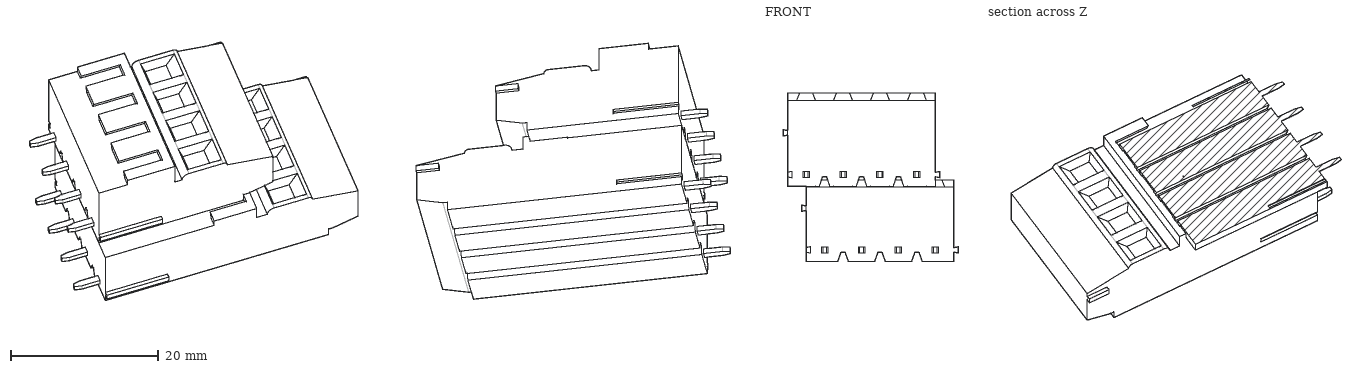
import cadquery as cq
import math

POLES = 4
PITCH = 5.0
WIDTH = POLES * PITCH
UPPER_SHIFT = -PITCH / 2
UPPER_RAISE = 10.23

LOWER_NOSE = 36.5
UPPER_NOSE = 25.1
HEEL_SETBACK = 4.25
CHIN_SETBACK = 3.6
SHOULDER_SETBACK = 6.58
HUMP_SETBACK = 13.1
HEEL_HEIGHT = 1.3
NOSE_BOTTOM = 2.3
NOSE_TOP = 8.22
HUMP_TOP = 10.02
REAR_ROUND = 0.6
FRONT_ROUND = 1.0
SHOULDER_HEIGHT = HUMP_TOP - REAR_ROUND
TROUGH_HEIGHT = HUMP_TOP - FRONT_ROUND

LOWER_RISER = 21.85
UPPER_RISER = 10.95
LOWER_TOP = 11.1
UPPER_TOP = 12.67
LOWER_RIB_FRONT = 15.7
UPPER_RIB_FRONT = 4.15
LOWER_GROOVE_LENGTH = 5.2
UPPER_GROOVE_LENGTH = 5.6
RIB_HEIGHT = 1.0
GROOVE_TOP_WIDTH = 1.75
GROOVE_BOTTOM_WIDTH = 2.55

POCKET_REAR_SETBACK = 7.2
POCKET_FRONT_SETBACK = 12.1
POCKET_WIDTH = 3.65
POCKET_DEPTH = 1.32
FLOOR_REAR_SETBACK = 8.6
FLOOR_FRONT_SETBACK = 11.63
FLOOR_WIDTH = 2.6

NOTCH_BOTTOM_WIDTH = 1.45
NOTCH_TOP_WIDTH = 0.52
NOTCH_HEIGHT = 1.3

DOVETAIL_DEPTH = 0.6
DOVETAIL_NECK = 0.65
DOVETAIL_HEAD = 0.9
RAIL_LENGTH = 9.0
RAIL_HEIGHT = 1.6
TAB_LENGTH = 3.13
TAB_HEIGHT = 7.25

PIN_LENGTH = 3.6
PIN_TIP_LENGTH = 1.0
PIN_WIDTH = 0.9
PIN_TIP_WIDTH = 0.5
PIN_THICKNESS = 0.8
PIN_HEIGHT = 1.6

POLE_CENTRES = [(i + 0.5) * PITCH for i in range(POLES)]
POLE_BOUNDARIES = [i * PITCH for i in range(1, POLES)]
ARC_MID = math.sqrt(0.5)


def prism_along_y(points, y_start, length):
    """Extrude an XZ outline from y_start towards +Y."""
    return cq.Workplane("XZ", origin=(0, y_start, 0)).polyline(points).close().extrude(-length)


def trapezoid(centre, bottom_width, top_width, bottom, top):
    return [
        (centre - bottom_width / 2, bottom),
        (centre + bottom_width / 2, bottom),
        (centre + top_width / 2, top),
        (centre - top_width / 2, top),
    ]


def body(nose, riser, top, rib_front):
    """Side profile of one block, extruded over its full width."""
    shoulder = nose - SHOULDER_SETBACK
    hump_front = nose - HUMP_SETBACK
    rear_centre = (shoulder - REAR_ROUND, SHOULDER_HEIGHT)
    front_centre = (hump_front + FRONT_ROUND, TROUGH_HEIGHT)
    rear_mid = (rear_centre[0] + REAR_ROUND * ARC_MID, rear_centre[1] + REAR_ROUND * ARC_MID)
    front_mid = (front_centre[0] - FRONT_ROUND * ARC_MID, front_centre[1] + FRONT_ROUND * ARC_MID)
    return (
        cq.Workplane("YZ")
        .moveTo(0, 0)
        .lineTo(nose - HEEL_SETBACK, 0)
        .lineTo(nose - HEEL_SETBACK, HEEL_HEIGHT)
        .lineTo(nose - CHIN_SETBACK, HEEL_HEIGHT)
        .lineTo(nose, NOSE_BOTTOM)
        .lineTo(nose, NOSE_TOP)
        .lineTo(shoulder, SHOULDER_HEIGHT)
        .threePointArc(rear_mid, (rear_centre[0], HUMP_TOP))
        .lineTo(front_centre[0], HUMP_TOP)
        .threePointArc(front_mid, (hump_front, TROUGH_HEIGHT))
        .lineTo(riser, TROUGH_HEIGHT)
        .lineTo(riser, top)
        .lineTo(rib_front, top)
        .lineTo(rib_front, top - RIB_HEIGHT)
        .lineTo(0, top - RIB_HEIGHT)
        .close()
        .extrude(WIDTH)
    )


def groove(centre, top, rib_front, length):
    """Undercut dovetail groove, open at the front of the ribs."""
    outline = trapezoid(centre, GROOVE_BOTTOM_WIDTH, GROOVE_TOP_WIDTH, top - RIB_HEIGHT, top)
    return prism_along_y(outline, rib_front, length)


def pocket(centre, nose):
    """Wire pocket that narrows towards its floor."""
    mouth_length = POCKET_FRONT_SETBACK - POCKET_REAR_SETBACK
    floor_length = FLOOR_FRONT_SETBACK - FLOOR_REAR_SETBACK
    mouth_y = nose - (POCKET_FRONT_SETBACK + POCKET_REAR_SETBACK) / 2
    floor_y = nose - (FLOOR_FRONT_SETBACK + FLOOR_REAR_SETBACK) / 2
    return (
        cq.Workplane("XY", origin=(centre, mouth_y, HUMP_TOP))
        .rect(POCKET_WIDTH, mouth_length)
        .workplane(offset=-POCKET_DEPTH)
        .center(0, floor_y - mouth_y)
        .rect(FLOOR_WIDTH, floor_length)
        .loft(ruled=True)
    )


def notch(centre, nose):
    """Trapezoid channel along the underside of the block."""
    outline = trapezoid(centre, NOTCH_BOTTOM_WIDTH, NOTCH_TOP_WIDTH, 0, NOTCH_HEIGHT)
    return prism_along_y(outline, 0, nose)


def side_dovetail(neck_x, head_x, height, y_start, length):
    """Dovetail bar running along Y, widening from neck_x to head_x."""
    outline = [
        (neck_x, height - DOVETAIL_NECK / 2),
        (neck_x, height + DOVETAIL_NECK / 2),
        (head_x, height + DOVETAIL_HEAD / 2),
        (head_x, height - DOVETAIL_HEAD / 2),
    ]
    return prism_along_y(outline, y_start, length)


def pin(centre):
    """Flat pin whose tip tapers in width."""
    shank_end = PIN_TIP_LENGTH - PIN_LENGTH
    outline = [
        (centre - PIN_WIDTH / 2, 0),
        (centre - PIN_WIDTH / 2, shank_end),
        (centre - PIN_TIP_WIDTH / 2, -PIN_LENGTH),
        (centre + PIN_TIP_WIDTH / 2, -PIN_LENGTH),
        (centre + PIN_WIDTH / 2, shank_end),
        (centre + PIN_WIDTH / 2, 0),
    ]
    base = cq.Workplane("XY", origin=(0, 0, PIN_HEIGHT - PIN_THICKNESS / 2))
    return base.polyline(outline).close().extrude(PIN_THICKNESS)


def block(nose, riser, top, rib_front, groove_length):
    """One complete four-pole block with its underside on Z = 0."""
    solid = body(nose, riser, top, rib_front)
    for centre in POLE_CENTRES:
        solid = solid.cut(groove(centre, top, rib_front, groove_length))
        solid = solid.cut(pocket(centre, nose))
        solid = solid.union(pin(centre))
    for centre in POLE_BOUNDARIES:
        solid = solid.cut(notch(centre, nose))
    solid = solid.cut(side_dovetail(0, DOVETAIL_DEPTH, RAIL_HEIGHT, 0, RAIL_LENGTH))
    solid = solid.union(side_dovetail(WIDTH, WIDTH + DOVETAIL_DEPTH, RAIL_HEIGHT, 0, RAIL_LENGTH))
    return solid.union(side_dovetail(0, -DOVETAIL_DEPTH, TAB_HEIGHT, nose - TAB_LENGTH, TAB_LENGTH))


lower_block = block(LOWER_NOSE, LOWER_RISER, LOWER_TOP, LOWER_RIB_FRONT, LOWER_GROOVE_LENGTH)
upper_block = block(UPPER_NOSE, UPPER_RISER, UPPER_TOP, UPPER_RIB_FRONT, UPPER_GROOVE_LENGTH)

result = lower_block.union(upper_block.translate((UPPER_SHIFT, 0, UPPER_RAISE)))